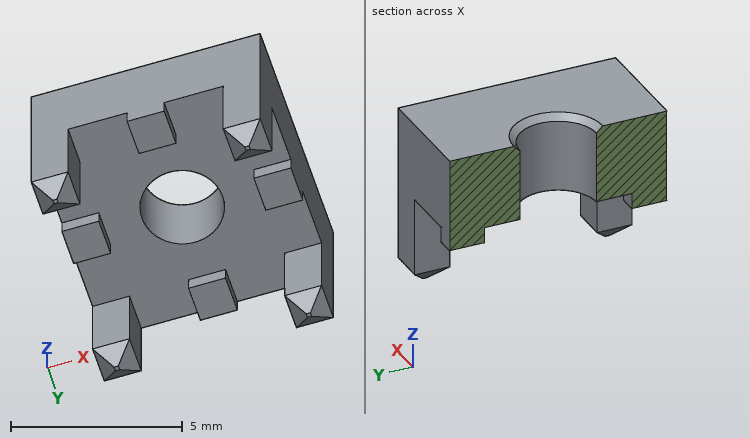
import cadquery as cq

body_side = 7.0
body_height = 2.5

leg_side = 1.13
leg_length = 2.5
tip_height = 0.5
tip_end_side = leg_side - 2 * tip_height

tab_side = leg_side
tab_height = 0.5

hole_diameter = 2.46
hole_chamfer = 0.2

edge_offset = (body_side - leg_side) / 2
tab_offset = (body_side - tab_side) / 2


def make_body():
    block = cq.Workplane("XY").rect(body_side, body_side).extrude(body_height)
    bored = block.faces(">Z").workplane().hole(hole_diameter)
    return bored.faces(">Z").edges("%CIRCLE").chamfer(hole_chamfer)


def make_leg(x, y):
    shank = cq.Workplane("XY").center(x, y).rect(leg_side, leg_side).extrude(-leg_length)
    tip = (
        cq.Workplane("XY", origin=(x, y, -leg_length))
        .rect(leg_side, leg_side)
        .workplane(offset=-tip_height)
        .rect(tip_end_side, tip_end_side)
        .loft(ruled=True)
    )
    return shank.union(tip)


def make_tab(x, y):
    return cq.Workplane("XY").center(x, y).rect(tab_side, tab_side).extrude(-tab_height)


result = make_body()

for x_sign in (-1, 1):
    for y_sign in (-1, 1):
        result = result.union(make_leg(x_sign * edge_offset, y_sign * edge_offset))

for sign in (-1, 1):
    result = result.union(make_tab(sign * tab_offset, 0))
    result = result.union(make_tab(0, sign * tab_offset))